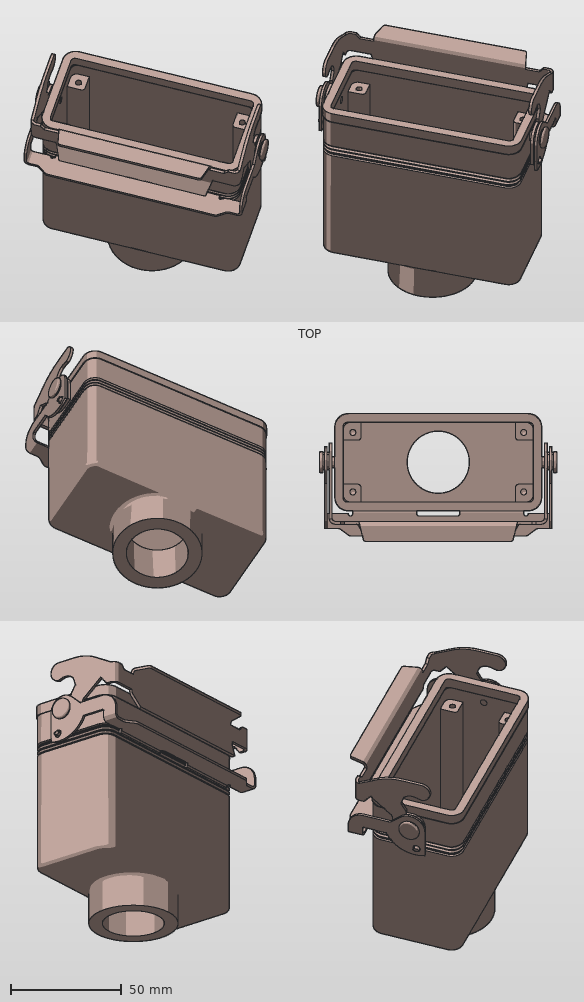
import cadquery as cq
import math


DIAGONAL = math.sqrt(0.5)

BODY_X = 93.0
BODY_Y = 43.4
BODY_CORNER = 5.8
BODY_BOTTOM = 16.0
BODY_BOTTOM_FILLET = 1.9

RIM_OVERHANG = 0.3
RIM_BOTTOM = 92.0
RIM_TOP = 97.0

BAND_BOTTOM = 72.5
BAND_TOP = 78.0
BAND_DEPTH = 0.8
RIDGE_HEIGHTS = (74.4, 76.3)
RIDGE_BASE_HALF = 0.9
RIDGE_TIP_HALF = 0.17
BAND_END_FLANK = 0.3

SPOUT_DIAMETER = 40.5
SPOUT_BORE = 28.0
SPOUT_FILLET = 1.9

CAVITY_X = 85.9
CAVITY_Y = 35.9
CAVITY_CORNER = 3.0
MOUTH_CORNER = 1.9
MOUTH_STEP = 0.1
FLOOR_THICKNESS = 3.6
FLOOR = BODY_BOTTOM + FLOOR_THICKNESS

POST_SIZE = 8.0
POST_CORNER = 1.5
POST_TOP = 85.2
SCREW_X = 38.6
SCREW_Y = 13.5
SCREW_DIAMETER = 2.7
SCREW_DEPTH = 10.2
DRILL_TIP_ANGLE = 118

PIVOT_Z = 87.9
PIN_TAIL_DIAMETER = 3.2
PIN_SHAFT_DIAMETER = 5.1
PIN_SHOULDER_DIAMETER = 6.9
PIN_HEAD_DIAMETER = 9.7
PIN_HEAD_THICKNESS = 1.7
PIN_HEAD_FILLET = 0.7
PIN_END = 53.73

LEVER_SHEET = 1.4
LEVER_HALF_X = 49.4
LEVER_FRONT = -28.08
LEVER_BEND = 2.8
LEVER_BOTTOM = 95.4
LEVER_SIDE_TOP = 105.2
LEVER_MIDDLE_TOP = 103.2
NOTCH_HALF_TOP = 44.3
NOTCH_HALF_BOTTOM = 42.4

HOOK_RADIUS = 4.35
HOOK_TOP = 113.0
HOOK_FLAT_END = -4.6
BROW_RADIUS = 26.7
BROW_END = -18.5
SLOPE_END = -25.8
HOOK_LIP = (1.7, 105.1)
THROAT_TOP = (0.1, 105.2)
THROAT_MIDDLE = (-3.0, 104.1)
THROAT_END = (-4.6, 101.6)
THROAT_CORNER = (-5.3, 99.4)
NECK_BACK = -2.8
NECK_BACK_TOP = 95.6

CHIN = -23.0
CHIN_NOTCH = (-19.9, 99.2)
NECK_FRONT = (-10.0, 91.3)

FOOT_FRONT = -9.4
FOOT_FRONT_TOP = 90.4
FOOT_FRONT_BOTTOM = 85.8
FOOT_CURVE = (-5.5, 78.6)
FOOT_FLAT_START = 1.1
FOOT_BOTTOM = 75.9
FOOT_RADIUS = 6.0

TAB_FRONT = -35.9
TAB_TOP = 106.2
TAB_BEND = 1.1
TAB_HALF_ROOT = 35.9
TAB_HALF_TIP = 33.7

SKIRT_BEND_Z = 93.9
SKIRT_BEND = 1.8
SKIRT_TILT = math.radians(25)
SKIRT_LENGTH = 7.2
SKIRT_HALF_ROOT = 37.1
SKIRT_HALF_TIP = 34.5
FLAP_CORNER = 1.4

BAIL_SHEET = 1.1
BAIL_HALF_X = 51.4
BAIL_BEND = 2.6
EAR_RADIUS = 7.0
EAR_BACK_BOTTOM = 73.8
EAR_CURVE = (-5.8, 75.3)
ARM_TOP = 88.7
ARM_TOP_START = -9.6
ARM_BOTTOM = 81.8
ARM_BOTTOM_START = -11.6
ARM_FRONT = -30.1
ARM_BACK = -23.2
ARM_FRONT_RADIUS = 7.5
ARM_BACK_RADIUS = 0.6

SHELF_TOP = 76.8
SHELF_BOTTOM = SHELF_TOP - BAIL_SHEET
SHELF_FRONT = -33.5
SHELF_FRONT_HALF = 40.1
SHELF_STEP_HALF = 44.6
SHELF_STEP_FILLET = 2.3

LIP_BOTTOM = 74.5
LIP_START = 9.7
LIP_END = 38.8
LIP_BEND = 1.0
RELIEF_WIDTH = 1.9
RELIEF_DEPTH = 1.1
MIDDLE_RELIEF_CORNER = 1.0
SIDE_RELIEF_CORNER = 0.9

DETENT_Y = 3.0
DETENT_Z = 76.8
DETENT_HOLE = 3.4
DETENT_WIDTH = 2.9
DETENT_HEIGHT = 1.6
DETENT_REACH = 52.5


def rounded_block(size_x, size_y, corner, bottom, top):
    """A block with rounded upright edges, centred on the Z axis."""
    block = cq.Workplane("XY").workplane(offset=bottom).rect(size_x, size_y).extrude(top - bottom)
    return block.edges("|Z").fillet(corner)


def rod(diameter, start_x, end_x):
    """A round length of the pivot pin on the +X side."""
    return (
        cq.Workplane("YZ", origin=(start_x, 0, PIVOT_Z)).circle(diameter / 2).extrude(end_x - start_x)
    )


def with_mirror(right_half):
    """The shape joined with its copy on the -X side."""
    return right_half.union(right_half.mirror("YZ"))


def flank(wide_z, narrow_z):
    """A frustum that narrows by the band depth from the body section at wide_z to narrow_z."""
    rise = abs(narrow_z - wide_z)
    taper = math.degrees(math.atan(BAND_DEPTH / rise))
    section = rounded_block(BODY_X, BODY_Y, BODY_CORNER, wide_z - rise, wide_z)
    frustum = section.faces(">Z").wires().toPending().workplane().extrude(rise, taper=taper, combine=False)
    if narrow_z < wide_z:
        return frustum.mirror("XY", (0, 0, wide_z))
    return frustum


def ridge(height):
    """A ridge of trapezoid section that runs around the gripping band."""
    tip_bottom = height - RIDGE_TIP_HALF
    tip_top = height + RIDGE_TIP_HALF
    tip = rounded_block(BODY_X, BODY_Y, BODY_CORNER, tip_bottom, tip_top)
    upper = flank(tip_top, height + RIDGE_BASE_HALF)
    lower = flank(tip_bottom, height - RIDGE_BASE_HALF)
    return tip.union(upper).union(lower)


def make_band():
    """The recessed gripping band with sloping ends and two ridges."""
    band = rounded_block(
        BODY_X - 2 * BAND_DEPTH, BODY_Y - 2 * BAND_DEPTH, BODY_CORNER - BAND_DEPTH, BAND_BOTTOM, BAND_TOP
    )
    band = band.union(flank(BAND_BOTTOM, BAND_BOTTOM + BAND_END_FLANK))
    band = band.union(flank(BAND_TOP, BAND_TOP - BAND_END_FLANK))
    for height in RIDGE_HEIGHTS:
        band = band.union(ridge(height))
    return band


def make_shell():
    """The outside of the housing: block, spout, ridged band and rim, all still filled."""
    block = rounded_block(BODY_X, BODY_Y, BODY_CORNER, BODY_BOTTOM, BAND_BOTTOM)
    block = block.faces("<Z").edges().fillet(BODY_BOTTOM_FILLET)
    spout = cq.Workplane("XY").circle(SPOUT_DIAMETER / 2).extrude(FLOOR)
    block = block.union(spout)
    margin = 0.2
    spout_root = cq.selectors.BoxSelector(
        (-SPOUT_DIAMETER / 2 - margin, -BODY_Y / 2 + margin, BODY_BOTTOM - margin),
        (SPOUT_DIAMETER / 2 + margin, BODY_Y / 2 - margin, BODY_BOTTOM + BODY_BOTTOM_FILLET),
    )
    block = block.edges(spout_root).fillet(SPOUT_FILLET)

    neck = rounded_block(BODY_X, BODY_Y, BODY_CORNER, BAND_TOP, RIM_BOTTOM)
    rim = rounded_block(
        BODY_X + 2 * RIM_OVERHANG, BODY_Y + 2 * RIM_OVERHANG, BODY_CORNER + RIM_OVERHANG, RIM_BOTTOM, RIM_TOP
    )
    return block.union(make_band()).union(neck).union(rim)


def make_cavity():
    """The hollow of the housing, less the four screw posts in its corners."""
    cavity = rounded_block(CAVITY_X, CAVITY_Y, CAVITY_CORNER, FLOOR, RIM_BOTTOM)
    mouth = rounded_block(
        CAVITY_X + 2 * MOUTH_STEP, CAVITY_Y + 2 * MOUTH_STEP, MOUTH_CORNER, RIM_BOTTOM, RIM_TOP
    )
    cavity = cavity.union(mouth)
    for side_x in (-1, 1):
        for side_y in (-1, 1):
            post = (
                cq.Workplane("XY", origin=(side_x * CAVITY_X / 2, side_y * CAVITY_Y / 2, FLOOR))
                .rect(2 * POST_SIZE, 2 * POST_SIZE)
                .extrude(POST_TOP - FLOOR)
                .edges("|Z")
                .fillet(POST_CORNER)
            )
            cavity = cavity.cut(post)
    return cavity


def make_screw_hole(x, y):
    """A blind drilled hole with a conical end, opening at the top of a post."""
    radius = SCREW_DIAMETER / 2
    tip = radius / math.tan(math.radians(DRILL_TIP_ANGLE / 2))
    return (
        cq.Workplane("XZ")
        .polyline([(0, 0), (radius, 0), (radius, -SCREW_DEPTH), (0, -SCREW_DEPTH - tip)])
        .close()
        .revolve(360, (0, 0, 0), (0, 1, 0))
        .translate((x, y, POST_TOP))
    )


def make_housing():
    housing = make_shell().cut(make_cavity())
    housing = housing.cut(cq.Workplane("XY").circle(SPOUT_BORE / 2).extrude(FLOOR))
    for x in (-SCREW_X, SCREW_X):
        for y in (-SCREW_Y, SCREW_Y):
            housing = housing.cut(make_screw_hole(x, y))
    pin_hole = rod(PIN_TAIL_DIAMETER, CAVITY_X / 2, BODY_X / 2)
    return housing.cut(pin_hole).cut(pin_hole.mirror("YZ"))


def make_pin():
    """The +X pivot pin, from its tail in the housing wall to its rounded head."""
    head_start = PIN_END - PIN_HEAD_THICKNESS
    tail = rod(PIN_TAIL_DIAMETER, CAVITY_X / 2, BODY_X / 2)
    shaft = rod(PIN_SHAFT_DIAMETER, BODY_X / 2, LEVER_HALF_X)
    shoulder = rod(PIN_SHOULDER_DIAMETER, LEVER_HALF_X - LEVER_SHEET, head_start)
    head = rod(PIN_HEAD_DIAMETER, head_start, PIN_END).edges().fillet(PIN_HEAD_FILLET)
    return tail.union(shaft).union(shoulder).union(head)


def lever_side_profile():
    """The lever's outline from the side: hook, brow, front end, arm and rounded foot."""
    hook_z = HOOK_TOP - HOOK_RADIUS
    brow_z = HOOK_TOP - BROW_RADIUS

    def brow_point(y):
        return (y, brow_z + math.sqrt(BROW_RADIUS**2 - (y - HOOK_FLAT_END) ** 2))

    return (
        cq.Workplane("YZ", origin=(-LEVER_HALF_X, 0, 0))
        .moveTo(HOOK_RADIUS, HOOK_TOP)
        .lineTo(HOOK_FLAT_END, HOOK_TOP)
        .threePointArc(brow_point((HOOK_FLAT_END + BROW_END) / 2), brow_point(BROW_END))
        .lineTo(SLOPE_END, LEVER_SIDE_TOP)
        .lineTo(LEVER_FRONT, LEVER_SIDE_TOP)
        .lineTo(LEVER_FRONT, LEVER_BOTTOM)
        .lineTo(CHIN, LEVER_BOTTOM)
        .lineTo(*CHIN_NOTCH)
        .lineTo(*NECK_FRONT)
        .lineTo(FOOT_FRONT, FOOT_FRONT_TOP)
        .lineTo(FOOT_FRONT, FOOT_FRONT_BOTTOM)
        .threePointArc(FOOT_CURVE, (FOOT_FLAT_START, FOOT_BOTTOM))
        .lineTo(FOOT_RADIUS, FOOT_BOTTOM)
        .lineTo(FOOT_RADIUS, PIVOT_Z)
        .threePointArc(
            (FOOT_RADIUS * DIAGONAL, PIVOT_Z + FOOT_RADIUS * DIAGONAL), (0, PIVOT_Z + FOOT_RADIUS)
        )
        .lineTo(NECK_BACK, PIVOT_Z + FOOT_RADIUS)
        .lineTo(NECK_BACK, NECK_BACK_TOP)
        .lineTo(*THROAT_CORNER)
        .lineTo(*THROAT_END)
        .threePointArc(THROAT_MIDDLE, THROAT_TOP)
        .lineTo(*HOOK_LIP)
        .lineTo(HOOK_RADIUS, hook_z - HOOK_RADIUS)
        .threePointArc((2 * HOOK_RADIUS, hook_z), (HOOK_RADIUS, HOOK_TOP))
        .close()
        .extrude(2 * LEVER_HALF_X)
    )


def lever_bracket():
    """The U-shaped strip: two hooked sides joined by bends to the front wall."""
    back = 2 * HOOK_RADIUS
    depth = back - LEVER_FRONT
    outside = (
        cq.Workplane("XY")
        .rect(2 * LEVER_HALF_X, 2 * depth)
        .extrude(HOOK_TOP)
        .edges("|Z")
        .fillet(LEVER_BEND)
    )
    inside = (
        cq.Workplane("XY")
        .rect(2 * (LEVER_HALF_X - LEVER_SHEET), 2 * (depth - LEVER_SHEET))
        .extrude(HOOK_TOP)
        .edges("|Z")
        .fillet(LEVER_BEND - LEVER_SHEET)
    )
    strip = outside.cut(inside).translate((0, back, 0))
    notch = (
        cq.Workplane("XZ", origin=(0, LEVER_FRONT + LEVER_SHEET, 0))
        .moveTo(-NOTCH_HALF_BOTTOM, LEVER_MIDDLE_TOP)
        .lineTo(NOTCH_HALF_BOTTOM, LEVER_MIDDLE_TOP)
        .lineTo(NOTCH_HALF_TOP, LEVER_SIDE_TOP)
        .lineTo(-NOTCH_HALF_TOP, LEVER_SIDE_TOP)
        .close()
        .extrude(LEVER_SHEET)
    )
    return strip.intersect(lever_side_profile()).cut(notch)


def symmetric_flap(plane, root, tip, half_root, half_tip):
    """A tapering, symmetric flap outline, deep enough to trim a bent sheet."""
    blank_depth = 113
    return (
        cq.Workplane(plane)
        .polyline([(-half_root, root), (half_root, root), (half_tip, tip), (-half_tip, tip)])
        .close()
        .extrude(blank_depth, both=True)
    )


def lever_tab():
    """The thumb tab bent forward from the top of the front wall."""
    back = LEVER_FRONT + LEVER_SHEET
    tab_bottom = TAB_TOP - LEVER_SHEET
    bend_y = LEVER_FRONT - TAB_BEND
    bend_z = tab_bottom - TAB_BEND
    outer = TAB_BEND + LEVER_SHEET
    bent = (
        cq.Workplane("YZ", origin=(-TAB_HALF_ROOT, 0, 0))
        .moveTo(back, LEVER_MIDDLE_TOP - LEVER_SHEET)
        .lineTo(back, bend_z)
        .threePointArc((bend_y + outer * DIAGONAL, bend_z + outer * DIAGONAL), (bend_y, TAB_TOP))
        .lineTo(TAB_FRONT, TAB_TOP)
        .lineTo(TAB_FRONT, tab_bottom)
        .lineTo(bend_y, tab_bottom)
        .threePointArc((bend_y + TAB_BEND * DIAGONAL, bend_z + TAB_BEND * DIAGONAL), (LEVER_FRONT, bend_z))
        .lineTo(LEVER_FRONT, LEVER_MIDDLE_TOP - LEVER_SHEET)
        .close()
        .extrude(2 * TAB_HALF_ROOT)
    )
    outline = symmetric_flap("XY", back, TAB_FRONT, TAB_HALF_ROOT, TAB_HALF_TIP)
    outline = outline.edges("|Z").edges("<Y").fillet(FLAP_CORNER)
    return bent.intersect(outline)


def lever_skirt():
    """The skirt below the front wall, its lower part tilted outwards."""
    back = LEVER_FRONT + LEVER_SHEET
    bend_y = LEVER_FRONT - SKIRT_BEND
    outer = SKIRT_BEND + LEVER_SHEET

    def bend_point(radius, angle):
        return (bend_y + radius * math.cos(angle), SKIRT_BEND_Z - radius * math.sin(angle))

    def tip_point(radius):
        y, z = bend_point(radius, SKIRT_TILT)
        return (y - SKIRT_LENGTH * math.sin(SKIRT_TILT), z - SKIRT_LENGTH * math.cos(SKIRT_TILT))

    bent = (
        cq.Workplane("YZ", origin=(-SKIRT_HALF_ROOT, 0, 0))
        .moveTo(back, LEVER_BOTTOM)
        .lineTo(LEVER_FRONT, LEVER_BOTTOM)
        .lineTo(LEVER_FRONT, SKIRT_BEND_Z)
        .threePointArc(bend_point(SKIRT_BEND, SKIRT_TILT / 2), bend_point(SKIRT_BEND, SKIRT_TILT))
        .lineTo(*tip_point(SKIRT_BEND))
        .lineTo(*tip_point(outer))
        .lineTo(*bend_point(outer, SKIRT_TILT))
        .threePointArc(bend_point(outer, SKIRT_TILT / 2), (back, SKIRT_BEND_Z))
        .close()
        .extrude(2 * SKIRT_HALF_ROOT)
    )
    tip_z = tip_point(outer)[1]
    outline = symmetric_flap("XZ", LEVER_BOTTOM, tip_z, SKIRT_HALF_ROOT, SKIRT_HALF_TIP)
    outline = outline.edges("|Y").edges("<Z").fillet(FLAP_CORNER)
    return bent.intersect(outline)


def make_detent():
    """The lug on the +X side of the lever that stands through the hole in the bail's ear."""
    start = LEVER_HALF_X - LEVER_SHEET
    half_width = DETENT_WIDTH / 2
    half_height = DETENT_HEIGHT / 2
    return (
        cq.Workplane("YZ", origin=(start, DETENT_Y, DETENT_Z))
        .moveTo(-half_width, 0)
        .threePointArc((0, half_height), (half_width, 0))
        .threePointArc((0, -half_height), (-half_width, 0))
        .close()
        .extrude(DETENT_REACH - start)
    )


def make_lever():
    return lever_bracket().union(lever_tab()).union(lever_skirt()).union(with_mirror(make_detent()))


def bail_ear():
    """The +X ear: a plate around the pin with an arm that turns down to the shelf."""
    bend_top = SHELF_BOTTOM + BAIL_BEND
    front_center_y = ARM_FRONT + ARM_FRONT_RADIUS
    front_center_z = ARM_TOP - ARM_FRONT_RADIUS
    shoulder = EAR_RADIUS * DIAGONAL
    ear = (
        cq.Workplane("YZ", origin=(BAIL_HALF_X - BAIL_SHEET, 0, 0))
        .moveTo(EAR_RADIUS, PIVOT_Z)
        .threePointArc((0, PIVOT_Z + EAR_RADIUS), (-shoulder, PIVOT_Z + shoulder))
        .lineTo(ARM_TOP_START, ARM_TOP)
        .lineTo(front_center_y, ARM_TOP)
        .threePointArc(
            (front_center_y - ARM_FRONT_RADIUS * DIAGONAL, front_center_z + ARM_FRONT_RADIUS * DIAGONAL),
            (ARM_FRONT, front_center_z),
        )
        .lineTo(ARM_FRONT, bend_top)
        .lineTo(ARM_BACK, bend_top)
        .lineTo(ARM_BACK, ARM_BOTTOM - ARM_BACK_RADIUS)
        .radiusArc((ARM_BACK + ARM_BACK_RADIUS, ARM_BOTTOM), -ARM_BACK_RADIUS)
        .lineTo(ARM_BOTTOM_START, ARM_BOTTOM)
        .threePointArc(EAR_CURVE, (EAR_RADIUS, EAR_BACK_BOTTOM))
        .close()
        .extrude(BAIL_SHEET)
    )
    hole = (
        cq.Workplane("YZ", origin=(BAIL_HALF_X - BAIL_SHEET, DETENT_Y, DETENT_Z))
        .circle(DETENT_HOLE / 2)
        .extrude(BAIL_SHEET)
    )
    return ear.cut(hole)


def bail_bend():
    """The +X bend between ear and shelf: a quarter of a tube along Y."""
    center_x = BAIL_HALF_X - BAIL_BEND
    center_z = SHELF_BOTTOM + BAIL_BEND
    tube = (
        cq.Workplane("XZ", origin=(center_x, ARM_BACK, center_z))
        .circle(BAIL_BEND)
        .circle(BAIL_BEND - BAIL_SHEET)
        .extrude(ARM_BACK - ARM_FRONT)
    )
    quarter = (
        cq.Workplane("XZ", origin=(center_x, ARM_BACK, center_z))
        .rect(BAIL_BEND, -BAIL_BEND, centered=False)
        .extrude(ARM_BACK - ARM_FRONT)
    )
    return tube.intersect(quarter)


def shelf_relief(x, width, corner):
    """A rounded cut-out in the back edge of the shelf."""
    return (
        cq.Workplane("XY", origin=(x, ARM_BACK, SHELF_BOTTOM))
        .rect(width, 2 * RELIEF_DEPTH)
        .extrude(BAIL_SHEET)
        .edges("|Z")
        .fillet(corner)
    )


def bail_shelf():
    """The flat shelf across the front, with a deeper middle and reliefs beside the lips."""
    half = BAIL_HALF_X - BAIL_BEND
    shelf = (
        cq.Workplane("XY", origin=(0, 0, SHELF_BOTTOM))
        .moveTo(-half, ARM_BACK)
        .lineTo(half, ARM_BACK)
        .lineTo(half, ARM_FRONT)
        .lineTo(SHELF_STEP_HALF, ARM_FRONT)
        .lineTo(SHELF_FRONT_HALF, SHELF_FRONT)
        .lineTo(-SHELF_FRONT_HALF, SHELF_FRONT)
        .lineTo(-SHELF_STEP_HALF, ARM_FRONT)
        .lineTo(-half, ARM_FRONT)
        .close()
        .extrude(BAIL_SHEET)
    )
    margin = 1.1
    middle_front = cq.selectors.BoxSelector(
        (-SHELF_STEP_HALF - margin, SHELF_FRONT - margin, SHELF_BOTTOM),
        (SHELF_STEP_HALF + margin, ARM_FRONT + margin, SHELF_TOP),
    )
    shelf = shelf.edges("|Z").edges(middle_front).fillet(SHELF_STEP_FILLET)

    shelf = shelf.cut(shelf_relief(0, 2 * LIP_START, MIDDLE_RELIEF_CORNER))
    for side in (-1, 1):
        relief_x = side * (LIP_END + RELIEF_WIDTH / 2)
        shelf = shelf.cut(shelf_relief(relief_x, RELIEF_WIDTH, SIDE_RELIEF_CORNER))
    return shelf


def bail_lip():
    """The +X lip turned down from the back edge of the shelf."""
    return (
        cq.Workplane("XY", origin=(LIP_START, ARM_BACK, LIP_BOTTOM))
        .rect(LIP_END - LIP_START, BAIL_SHEET, centered=False)
        .extrude(SHELF_TOP - LIP_BOTTOM)
        .edges("|X")
        .edges(">Z and >Y")
        .fillet(LIP_BEND)
    )


def make_bail():
    return bail_shelf().union(with_mirror(bail_ear().union(bail_bend()))).union(with_mirror(bail_lip()))


def make_latch():
    """Lever, bail and pivot pins, riveted into a single solid."""
    return make_lever().union(make_bail()).union(with_mirror(make_pin()))


housing = make_housing()
latch = make_latch()
result = cq.Compound.makeCompound([housing.val(), latch.val()])